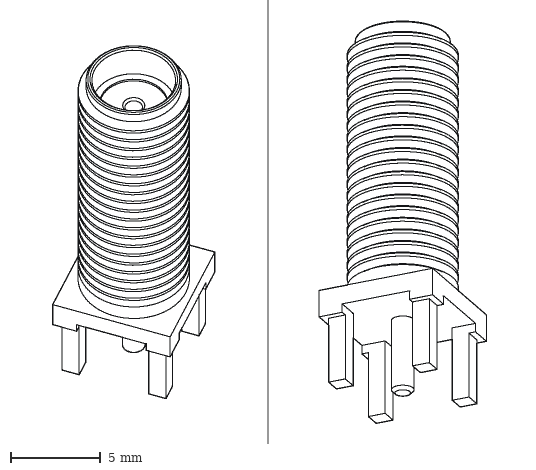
import cadquery as cq
import math

total_height = 21.52
plate_side = 7.0
plate_top = 5.5
plate_underside = 4.41
pad_underside = 3.9

leg_side = 1.03

barrel_diameter = 6.2
collar_top = 6.43
top_crest_edge = 20.6
ridge_count = 20
thread_angle = 60.0
neck_diameter = 5.3
neck_chamfer = 0.09

bore_diameter = 4.65
bore_chamfer = 0.1
bore_depth = 2.0
recess_diameter = 3.8
recess_depth = 0.13

pin_diameter = 1.27
pin_chamfer = 0.2
contact_hole_diameter = 0.97
contact_hole_depth = 1.94
contact_hole_chamfer = 0.13

leg_outer_span = barrel_diameter
channel_width = leg_outer_span - 2 * leg_side
leg_spacing = leg_outer_span - leg_side
barrel_radius = barrel_diameter / 2
neck_radius = neck_diameter / 2
thread_pitch = (top_crest_edge - collar_top) / ridge_count
flank_height = (barrel_radius - neck_radius) * math.tan(math.radians(thread_angle / 2))
crest_width = thread_pitch - 2 * flank_height


def revolve_about_axis(profile):
    """Solid of revolution from a closed list of (radius, height) points."""
    return cq.Workplane("XZ").polyline(profile).close().revolve(360, (0, 0), (0, 1))


def make_base():
    """Square plate with a cross channel beneath, leaving a pad at each corner."""
    plate = (
        cq.Workplane("XY")
        .workplane(offset=pad_underside)
        .rect(plate_side, plate_side)
        .extrude(plate_top - pad_underside)
    )
    for length_x, length_y in ((plate_side, channel_width), (channel_width, plate_side)):
        channel = (
            cq.Workplane("XY")
            .workplane(offset=pad_underside)
            .rect(length_x, length_y)
            .extrude(plate_underside - pad_underside)
        )
        plate = plate.cut(channel)
    return plate


def make_legs():
    """Four square legs, one under each corner pad."""
    return (
        cq.Workplane("XY")
        .rect(leg_spacing, leg_spacing, forConstruction=True)
        .vertices()
        .rect(leg_side, leg_side)
        .extrude(pad_underside)
    )


def make_barrel():
    """Collar, stacked V-groove ridges and plain neck, revolved about the part axis."""
    profile = [(0, plate_top), (barrel_radius, plate_top), (barrel_radius, collar_top)]
    for ridge in range(1, ridge_count + 1):
        crest_top = collar_top + ridge * thread_pitch
        crest_bottom = crest_top - crest_width
        profile.append((neck_radius, crest_bottom - flank_height))
        profile.append((barrel_radius, crest_bottom))
        profile.append((barrel_radius, crest_top))
    profile.append((neck_radius, top_crest_edge + flank_height))
    profile.append((neck_radius, total_height - neck_chamfer))
    profile.append((neck_radius - neck_chamfer, total_height))
    profile.append((0, total_height))
    return revolve_about_axis(profile)


def make_socket():
    """Stepped cavity: chamfered bore, shallow recess in its floor, chamfered contact hole."""
    bore_radius = bore_diameter / 2
    recess_radius = recess_diameter / 2
    hole_radius = contact_hole_diameter / 2
    bore_floor = total_height - bore_depth
    recess_floor = bore_floor - recess_depth
    hole_floor = recess_floor - contact_hole_depth
    profile = [
        (0, total_height),
        (bore_radius + bore_chamfer, total_height),
        (bore_radius, total_height - bore_chamfer),
        (bore_radius, bore_floor),
        (recess_radius, bore_floor),
        (recess_radius, recess_floor),
        (hole_radius + contact_hole_chamfer, recess_floor),
        (hole_radius, recess_floor - contact_hole_chamfer),
        (hole_radius, hole_floor),
        (0, hole_floor),
    ]
    return revolve_about_axis(profile)


def make_pin():
    """Solder pin with a chamfered tip."""
    pin = cq.Workplane("XY").circle(pin_diameter / 2).extrude(plate_underside)
    return pin.faces("<Z").chamfer(pin_chamfer)


result = make_base().union(make_legs()).union(make_barrel()).union(make_pin()).cut(make_socket())